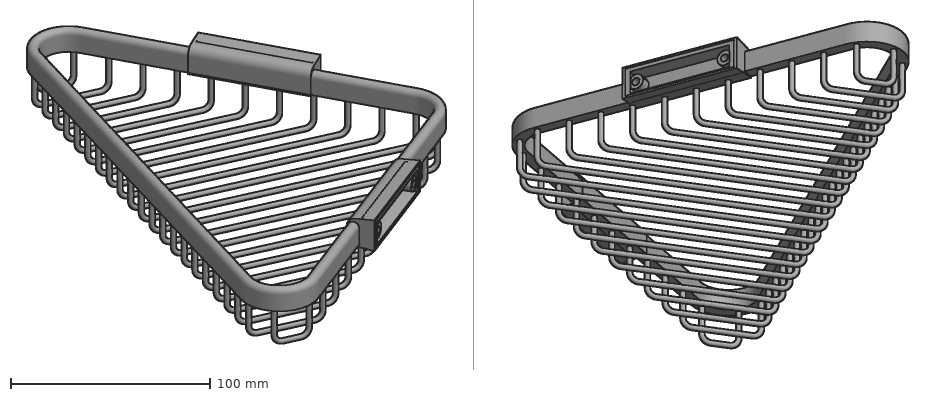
import cadquery as cq
import math

length = 296.5
corner_radius = 21.0
rail_width = 6.2
rail_height = 12.7
rail_bottom = 21.3
rail_radius = rail_width / 2
diagonal = math.sqrt(0.5)

wire_count = 23
wire_span = 284.5
wire_pitch = wire_span / (wire_count - 1)
wire_diameter = 3.0
bend_radius = 4.7
wire_sink = 3.0

bracket_length = 65.8
bracket_height = 17.8
bracket_top = 37.0
bracket_depth = 14.8
bracket_cover = 0.45
bracket_shift = 1.5
bracket_taper = 1.5
bracket_round = 4.7

insert_length = 62.3
insert_height = 15.5
insert_depth = 7.5
pocket_drop = 0.75
pocket_depth = 6.5
pocket_margin = 4.5
pocket_mouth_height = 12.5
pocket_floor_height = 9.5
boss_radius = 4.2
boss_height = 6.0
boss_inset = 7.5
screw_hole_radius = 2.0

corner_middle_angle = math.radians(-22.5)
center_radius = corner_radius - rail_radius
corner_x = length / 2 - corner_radius
front_y = rail_radius
back_center_y = corner_radius + corner_x
tangent = center_radius * diagonal


def make_rail():
    """Closed rail with a flat bottom and a half-round top."""
    corner_middle_x = corner_x + center_radius * math.cos(corner_middle_angle)
    corner_middle_y = corner_radius + center_radius * math.sin(corner_middle_angle)
    side_front = (corner_x + tangent, corner_radius + tangent)
    side_back = (tangent, back_center_y + tangent)
    path = (
        cq.Workplane("XY", origin=(0, 0, rail_bottom))
        .moveTo(0, front_y)
        .lineTo(corner_x, front_y)
        .threePointArc((corner_middle_x, corner_middle_y), side_front)
        .lineTo(*side_back)
        .threePointArc((0, back_center_y + center_radius), (-side_back[0], side_back[1]))
        .lineTo(-side_front[0], side_front[1])
        .threePointArc((-corner_middle_x, corner_middle_y), (-corner_x, front_y))
        .close()
    )
    shoulder = rail_height - rail_radius
    profile = (
        cq.Workplane("YZ", origin=(0, front_y, rail_bottom))
        .moveTo(-rail_radius, 0)
        .lineTo(rail_radius, 0)
        .lineTo(rail_radius, shoulder)
        .threePointArc((0, rail_height), (-rail_radius, shoulder))
        .close()
    )
    return profile.sweep(path)


def arc_rise(offset):
    """Y distance from a corner's arc centre to the rail's centreline, at an X offset from that centre."""
    return math.sqrt(center_radius**2 - offset**2)


def wire_ends(x):
    """Y of the front and the back leg of the wire at x, both on the rail's centreline."""
    x = abs(x)
    front = front_y
    if x > corner_x:
        front = corner_radius - arc_rise(x - corner_x)
    if x < tangent:
        back = back_center_y + arc_rise(x)
    elif x < corner_x + tangent:
        back = back_center_y + 2 * tangent - x
    else:
        back = corner_radius + arc_rise(x - corner_x)
    return front, back


def make_wire(x):
    """One U-shaped wire, with both legs ending inside the rail."""
    front, back = wire_ends(x)
    top = rail_bottom + wire_sink
    low = wire_diameter / 2
    bend_offset = bend_radius * (1 - diagonal)
    path = (
        cq.Workplane("YZ", origin=(x, 0, 0))
        .moveTo(front, top)
        .lineTo(front, low + bend_radius)
        .threePointArc((front + bend_offset, low + bend_offset), (front + bend_radius, low))
        .lineTo(back - bend_radius, low)
        .threePointArc((back - bend_offset, low + bend_offset), (back, low + bend_radius))
        .lineTo(back, top)
    )
    return cq.Workplane("XY", origin=(x, front, top)).circle(low).sweep(path)


def make_basket():
    """Rail and wires as one welded body."""
    basket = make_rail()
    for i in range(wire_count):
        basket = basket.union(make_wire(i * wire_pitch - wire_span / 2))
    return basket


side_middle_x = -(corner_x + 2 * tangent) / 2
side_middle_y = (corner_radius + back_center_y + 2 * tangent) / 2
bracket_middle_z = bracket_top - bracket_height / 2
along = bracket_shift * diagonal
outward = (bracket_depth - bracket_cover - rail_radius) * diagonal
wall_face = cq.Plane(
    origin=(side_middle_x + along - outward, side_middle_y + along + outward, bracket_middle_z),
    xDir=(-1, -1, 0),
    normal=(-1, 1, 0),
)


def insert_block():
    """Outer shape of the insert, which is also the recess in the bracket."""
    return cq.Workplane(wall_face).rect(insert_length, insert_height).extrude(-insert_depth)


def extrude_along_side(outline, run_length):
    """Prism along the side, centred on the bracket.

    Outline points are (distance out of the wall face, height above the bracket's middle).
    """
    end_plane = cq.Plane(
        origin=wall_face.toWorldCoords((-run_length / 2, 0, 0)),
        xDir=wall_face.zDir,
        normal=-wall_face.xDir,
    )
    return cq.Workplane(end_plane).polyline(outline).close().extrude(-run_length)


def make_insert():
    """Left insert: a tray with tapered long walls and two screw bosses."""
    pocket_length = bracket_length - 2 * pocket_margin
    mouth = pocket_mouth_height / 2
    floor = pocket_floor_height / 2
    pocket = extrude_along_side(
        [
            (0, -mouth - pocket_drop),
            (0, mouth - pocket_drop),
            (-pocket_depth, floor - pocket_drop),
            (-pocket_depth, -floor - pocket_drop),
        ],
        pocket_length,
    )
    boss_x = bracket_length / 2 - boss_inset
    bosses = (
        cq.Workplane(wall_face)
        .workplane(offset=-pocket_depth)
        .pushPoints([(-boss_x, -pocket_drop), (boss_x, -pocket_drop)])
        .circle(boss_radius)
        .circle(screw_hole_radius)
        .extrude(boss_height)
    )
    return insert_block().cut(pocket).union(bosses)


def make_bracket(basket):
    """Left bracket, with the rail and wires passing through it and a recess for its insert."""
    high = bracket_height / 2
    inner_high = high - bracket_taper
    block = extrude_along_side(
        [(0, -high), (0, high), (-bracket_depth, inner_high), (-bracket_depth, -inner_high)], bracket_length
    )
    inner_top_edge = wall_face.toWorldCoords((0, inner_high, -bracket_depth)).toTuple()
    block = block.edges(cq.selectors.NearestToPointSelector(inner_top_edge)).fillet(bracket_round)
    return block.cut(insert_block()).cut(basket)


basket = make_basket()
left_bracket = make_bracket(basket)
left_insert = make_insert()
right_bracket = left_bracket.mirror("YZ")
right_insert = left_insert.mirror("YZ")

result = cq.Compound.makeCompound(
    [
        basket.val(),
        left_bracket.val(),
        right_bracket.val(),
        left_insert.val(),
        right_insert.val(),
    ]
)